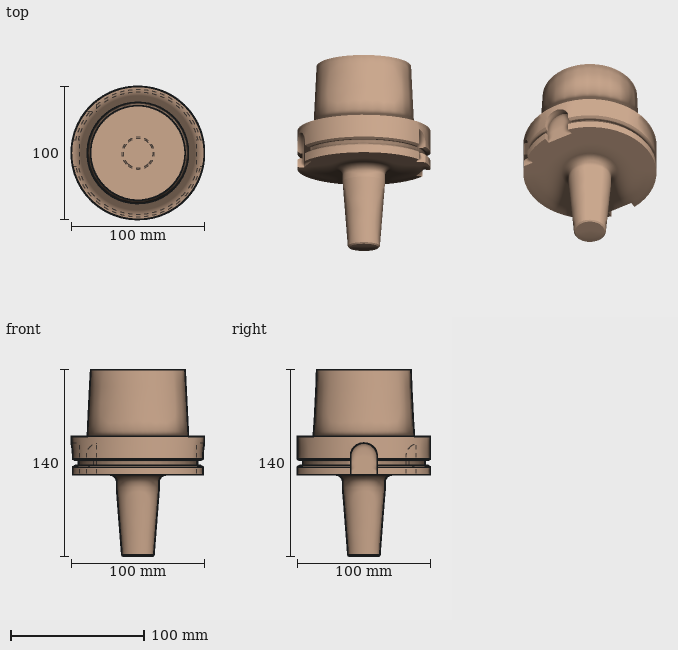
import cadquery as cq
import math

flange_bottom_z = 61.0
flange_height = 29.0
flange_top_z = flange_bottom_z + flange_height

taper_base_radius = 38.0
taper_length = 50.0
taper_ratio = 0.1
taper_top_radius = taper_base_radius - taper_length * taper_ratio / 2
taper_top_z = flange_top_z + taper_length

flange_radius = 50.0
groove_floor_radius = 46.0
groove_center_z = flange_top_z - 20.0
groove_floor_height = 3.75
groove_mouth_height = 6.25
lip_bevel_angle = 30.0
lip_bevel_height = (groove_mouth_height - groove_floor_height) / 2
lip_inner_radius = flange_radius - lip_bevel_height / math.tan(math.radians(lip_bevel_angle))

neck_radius = 16.0
neck_fillet_radius = 5.0
nose_tip_radius = 12.0
nose_half_angle = 4.5
nose_slope = math.tan(math.radians(nose_half_angle))
nose_cone_top_z = (neck_radius - nose_tip_radius) / nose_slope
nose_chamfer = 1.0
nose_chamfer_radius = nose_tip_radius + nose_chamfer * nose_slope

slot_width = 20.0
slot_radius = slot_width / 2
slot_crown_z = flange_top_z - 5.0
drive_slot_floor_x = 44.0
notch_floor_x = 31.4
notch_wall_y = 31.4
notch_center_y = notch_wall_y + slot_radius


def revolve_about_z(profile):
    """Turn a closed radius-height profile around the Z axis."""
    return profile.revolve(360, (0, 0, 0), (0, 1, 0))


def make_turned_holder():
    """Nose, neck and grooved flange as one turned solid."""
    groove_floor_bottom_z = groove_center_z - groove_floor_height / 2
    groove_floor_top_z = groove_center_z + groove_floor_height / 2
    profile = (
        cq.Workplane("XZ")
        .lineTo(nose_chamfer_radius - nose_chamfer, 0)
        .lineTo(nose_chamfer_radius, nose_chamfer)
        .lineTo(neck_radius, nose_cone_top_z)
        .lineTo(neck_radius, flange_bottom_z - neck_fillet_radius)
        .radiusArc((neck_radius + neck_fillet_radius, flange_bottom_z), neck_fillet_radius)
        .lineTo(flange_radius, flange_bottom_z)
        .lineTo(flange_radius, groove_floor_bottom_z - lip_bevel_height)
        .lineTo(lip_inner_radius, groove_floor_bottom_z)
        .lineTo(groove_floor_radius, groove_floor_bottom_z)
        .lineTo(groove_floor_radius, groove_floor_top_z)
        .lineTo(lip_inner_radius, groove_floor_top_z)
        .lineTo(flange_radius, groove_floor_top_z + lip_bevel_height)
        .lineTo(flange_radius, flange_top_z)
        .lineTo(0, flange_top_z)
        .close()
    )
    return revolve_about_z(profile)


def make_rim_cutter(center_y, floor_x, direction):
    """Round-topped slot tool running outward along X from floor_x; direction is +1 or -1."""
    arch_center_z = slot_crown_z - slot_radius
    return (
        cq.Workplane("YZ", origin=(direction * floor_x, center_y, 0))
        .moveTo(-slot_radius, flange_bottom_z)
        .lineTo(-slot_radius, arch_center_z)
        .threePointArc((0, slot_crown_z), (slot_radius, arch_center_z))
        .lineTo(slot_radius, flange_bottom_z)
        .close()
        .extrude(direction * flange_radius)
    )


def make_holder():
    """Turned holder with two opposite drive slots and one side notch at -X, +Y."""
    body = make_turned_holder()
    for direction in (-1, 1):
        body = body.cut(make_rim_cutter(0, drive_slot_floor_x, direction))
    return body.cut(make_rim_cutter(notch_center_y, notch_floor_x, -1))


def make_spindle_taper():
    """Plain conical shank standing on the top face of the flange."""
    profile = (
        cq.Workplane("XZ")
        .moveTo(0, flange_top_z)
        .lineTo(taper_base_radius, flange_top_z)
        .lineTo(taper_top_radius, taper_top_z)
        .lineTo(0, taper_top_z)
        .close()
    )
    return revolve_about_z(profile)


holder = make_holder()
spindle_taper = make_spindle_taper()

result = cq.Compound.makeCompound([holder.val(), spindle_taper.val()])